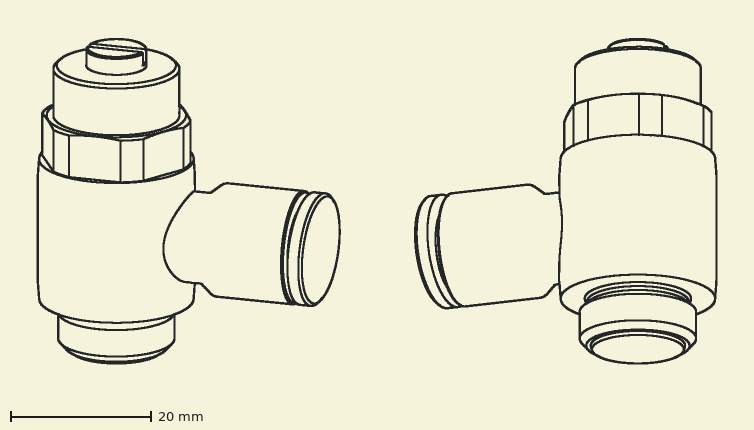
import cadquery as cq
import math

TIP_TOP = 0.55
THREAD_LOW = 1.63
THREAD_HIGH = 5.6
NECK_LOW = 6.5
NECK_HIGH = 7.1
BODY_BOTTOM = 7.6
BODY_TAPER = 2.5
HEX_BOTTOM = 28.55
HEX_TOP = 35.08
CAP_TOP = 42.6
SCREW_TOP = 45.2

TIP_RADIUS = 6.55
TIP_ROOT_RADIUS = 6.75
THREAD_CHAMFER_RADIUS = 7.35
THREAD_RADIUS = 8.3
NECK_RADIUS = 7.28
NECK_FLARE_RADIUS = 7.6
BODY_RADIUS = 11.2
BODY_END_RADIUS = 11.05
CAP_RADIUS = 9.0
CAP_CHAMFER = 0.5
SCREW_RADIUS = 4.3
SCREW_CHAMFER = 0.23

HEX_SIDES = 6
HEX_ACROSS_FLATS = 20.0
HEX_CORNER_RADIUS = 10.7
HEX_TOP_RADIUS = 9.95
HEX_BEVEL_HEIGHT = 0.25

SLOT_WIDTH = 1.45
SLOT_DEPTH = 2.0

ARM_HEIGHT = 18.0
ARM_NECK_RADIUS = 6.5
ARM_RADIUS = 8.15
ARM_CONE_START = 13.6
ARM_CONE_END = 15.65
ARM_END = 27.5
ARM_CONE_FILLET = 0.75
CONE_EDGE_MARGIN = 0.45
ARM_END_CHAMFER = 0.23
COLLAR_RADIUS = 5.88
BUTTON_START = 28.55
BUTTON_END = 30.6
BUTTON_HALF_WIDTH = 9.2
BUTTON_HALF_HEIGHT = 7.95
BUTTON_CHAMFER = 0.4


def cylinder_z(radius, bottom, top):
    return cq.Workplane("XY").workplane(offset=bottom).circle(radius).extrude(top - bottom)


def revolve_z(profile):
    """Turn a closed (radius, height) profile around the upright axis."""
    return cq.Workplane("XZ").polyline(profile).close().revolve(360, (0, 0), (0, 1))


def arm_plane(station):
    """YZ plane on the arm axis: local x is global Y, local y is global Z."""
    return cq.Workplane("YZ", origin=(station, 0, ARM_HEIGHT))


def make_stem_and_body():
    """Threaded stem with its undercut, and the banjo body with tapered ends."""
    profile = [
        (0, 0),
        (TIP_RADIUS, 0),
        (TIP_ROOT_RADIUS, TIP_TOP),
        (THREAD_CHAMFER_RADIUS, TIP_TOP),
        (THREAD_RADIUS, THREAD_LOW),
        (THREAD_RADIUS, THREAD_HIGH),
        (NECK_RADIUS, NECK_LOW),
        (NECK_RADIUS, NECK_HIGH),
        (NECK_FLARE_RADIUS, BODY_BOTTOM),
        (BODY_END_RADIUS, BODY_BOTTOM),
        (BODY_RADIUS, BODY_BOTTOM + BODY_TAPER),
        (BODY_RADIUS, HEX_BOTTOM - BODY_TAPER),
        (BODY_END_RADIUS, HEX_BOTTOM),
        (0, HEX_BOTTOM),
    ]
    return revolve_z(profile)


def make_hexagon():
    """Hexagon with flats facing +Y and -Y, rounded corners and a bevelled top."""
    across_corners = HEX_ACROSS_FLATS / math.cos(math.pi / HEX_SIDES)
    prism = (
        cq.Workplane("XY")
        .workplane(offset=HEX_BOTTOM)
        .polygon(HEX_SIDES, across_corners)
        .extrude(HEX_TOP - HEX_BOTTOM)
    )
    turned_profile = [
        (0, HEX_BOTTOM),
        (HEX_CORNER_RADIUS, HEX_BOTTOM),
        (HEX_CORNER_RADIUS, HEX_TOP - HEX_BEVEL_HEIGHT),
        (HEX_TOP_RADIUS, HEX_TOP),
        (0, HEX_TOP),
    ]
    return prism.intersect(revolve_z(turned_profile))


def make_cap():
    return cylinder_z(CAP_RADIUS, HEX_TOP, CAP_TOP).faces(">Z").chamfer(CAP_CHAMFER)


def make_slotted_screw():
    screw = cylinder_z(SCREW_RADIUS, CAP_TOP, SCREW_TOP).faces(">Z").chamfer(SCREW_CHAMFER)
    slot = (
        cq.Workplane("XY")
        .workplane(offset=SCREW_TOP - SLOT_DEPTH)
        .rect(2 * SCREW_RADIUS, SLOT_WIDTH)
        .extrude(SLOT_DEPTH)
    )
    return screw.cut(slot)


def make_arm():
    """Neck widening through a blended cone into the push-in sleeve."""
    profile = [
        (0, 0),
        (0, ARM_NECK_RADIUS),
        (ARM_CONE_START, ARM_NECK_RADIUS),
        (ARM_CONE_END, ARM_RADIUS),
        (ARM_END, ARM_RADIUS),
        (ARM_END, 0),
    ]
    arm = (
        cq.Workplane("XZ", origin=(0, 0, ARM_HEIGHT))
        .polyline(profile)
        .close()
        .revolve(360, (0, 0), (1, 0))
    )
    cone_edges = cq.selectors.BoxSelector(
        (ARM_CONE_START - CONE_EDGE_MARGIN, -ARM_RADIUS, ARM_HEIGHT - ARM_RADIUS),
        (ARM_CONE_END + CONE_EDGE_MARGIN, ARM_RADIUS, ARM_HEIGHT + ARM_RADIUS),
    )
    return (
        arm.edges("%CIRCLE")
        .edges(cone_edges)
        .fillet(ARM_CONE_FILLET)
        .faces(">X")
        .chamfer(ARM_END_CHAMFER)
    )


def make_release_button():
    """Oval button, wider along Y, carried on a round collar."""
    collar = arm_plane(ARM_END).circle(COLLAR_RADIUS).extrude(BUTTON_START - ARM_END)
    button = (
        arm_plane(BUTTON_START)
        .ellipse(BUTTON_HALF_WIDTH, BUTTON_HALF_HEIGHT)
        .extrude(BUTTON_END - BUTTON_START)
        .faces(">X")
        .chamfer(BUTTON_CHAMFER)
    )
    return collar.union(button)


result = (
    make_stem_and_body()
    .union(make_hexagon())
    .union(make_cap())
    .union(make_slotted_screw())
    .union(make_arm())
    .union(make_release_button())
)